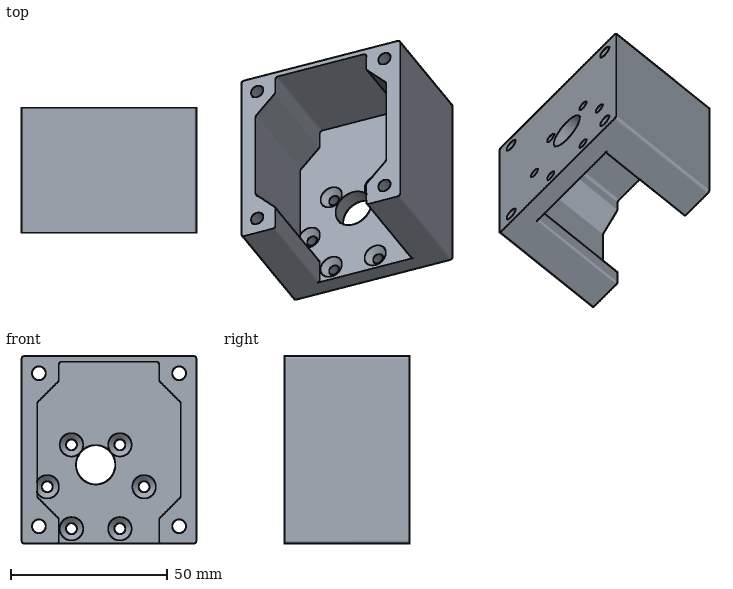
import cadquery as cq
import math

width = 56.0
depth = 40.0
height = 60.0
outer_radius = 1.0

cavity_half_width = 23.0
neck_half_width = 16.0
shoulder_height = 22.0
top_wall = 1.8
floor_thickness = 6.0
cavity_radius = 1.0
post_toe_radius = 0.8

post_hole_diameter = 4.3
post_hole_spacing_x = 44.8
post_hole_spacing_z = 48.9

mount_x = -4.25
mount_z = -11.8
mount_screw_count = 6
mount_circle_radius = 15.5
mount_hole_diameter = 3.4
countersink_diameter = 7.5
countersink_angle = 90.0
shaft_diameter = 12.5
shaft_offset_z = 7.0

front_y = -depth / 2
back_y = depth / 2
floor_y = back_y - floor_thickness


def facing_front(y):
    """Workplane at the given Y: local x is X, local y is Z, extrusion runs toward -Y."""
    return cq.Workplane("XZ", origin=(0, y, 0))


def make_block():
    block = cq.Workplane("XY").box(width, depth, height)
    return block.edges("|Y").fillet(outer_radius)


def make_cavity():
    top_z = height / 2 - top_wall
    bottom_z = -height / 2 - 2 * cavity_radius
    side_z = shoulder_height - (cavity_half_width - neck_half_width)
    right_side = [
        (neck_half_width, bottom_z),
        (neck_half_width, -shoulder_height),
        (cavity_half_width, -side_z),
        (cavity_half_width, side_z),
        (neck_half_width, shoulder_height),
        (neck_half_width, top_z),
    ]
    left_side = [(-x, z) for x, z in reversed(right_side)]
    outline = facing_front(floor_y).polyline(right_side + left_side).close()
    cavity = outline.extrude(floor_y - front_y)
    return cavity.edges("|Y").fillet(cavity_radius)


def round_post_toes(body):
    """Round the inner bottom edge of both lower posts."""
    middle_y = (front_y + floor_y) / 2
    for x in (-neck_half_width, neck_half_width):
        toe = cq.selectors.NearestToPointSelector((x, middle_y, -height / 2))
        body = body.edges("|Y").edges(toe).fillet(post_toe_radius)
    return body


def post_hole_cutter():
    holes = facing_front(back_y).rect(post_hole_spacing_x, post_hole_spacing_z, forConstruction=True)
    return holes.vertices().circle(post_hole_diameter / 2).extrude(depth)


def mount_screw_cutter(x, z):
    """Clearance hole with a conical seat that opens on the inner face of the back plate."""
    hole_radius = mount_hole_diameter / 2
    sink_radius = countersink_diameter / 2
    sink_depth = (sink_radius - hole_radius) / math.tan(math.radians(countersink_angle / 2))
    profile = [
        (0, 0),
        (sink_radius, 0),
        (hole_radius, sink_depth),
        (hole_radius, floor_thickness),
        (0, floor_thickness),
    ]
    cutter = cq.Workplane("XY").polyline(profile).close().revolve(360, (0, 0), (0, 1))
    return cutter.translate((x, floor_y, z))


def shaft_cutter():
    shaft = facing_front(back_y).center(mount_x, mount_z + shaft_offset_z)
    return shaft.circle(shaft_diameter / 2).extrude(floor_thickness)


result = round_post_toes(make_block().cut(make_cavity()))
result = result.cut(post_hole_cutter()).cut(shaft_cutter())
for index in range(mount_screw_count):
    angle = 2 * math.pi * index / mount_screw_count
    screw_x = mount_x + mount_circle_radius * math.cos(angle)
    screw_z = mount_z + mount_circle_radius * math.sin(angle)
    result = result.cut(mount_screw_cutter(screw_x, screw_z))